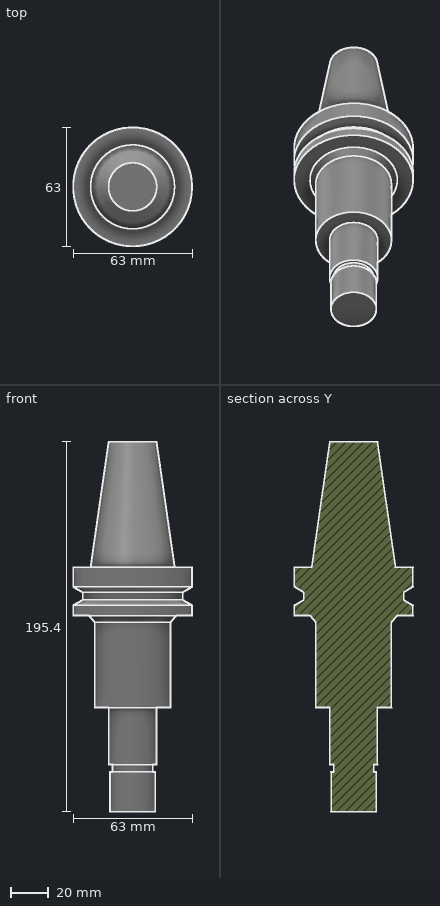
import cadquery as cq

total_height = 195.4

nose_diameter = 24.0
nose_groove_diameter = 21.5
shank_diameter = 25.4
body_diameter = 40.0
collar_diameter = 46.1
flange_diameter = 63.0
flange_groove_diameter = 53.0
taper_large_diameter = 44.4
taper_small_diameter = 25.4

nose_length = 21.1
nose_groove_width = 4.0
shank_length = 30.0
body_length = 45.0
collar_height = 3.5
lower_rim_height = 5.5
groove_flank_height = 3.0
groove_floor_width = 4.0
upper_rim_height = 10.4
taper_neck_height = 0.5

nose_top = nose_length
shank_bottom = nose_top + nose_groove_width
shank_top = shank_bottom + shank_length
body_top = shank_top + body_length
flange_bottom = body_top + collar_height
lower_rim_top = flange_bottom + lower_rim_height
groove_floor_bottom = lower_rim_top + groove_flank_height
groove_floor_top = groove_floor_bottom + groove_floor_width
upper_rim_bottom = groove_floor_top + groove_flank_height
flange_top = upper_rim_bottom + upper_rim_height
taper_bottom = flange_top + taper_neck_height


def turned_section(bottom, top, bottom_diameter, top_diameter=None):
    """Solid cylinder, or cone when the two diameters differ, about the Z axis."""
    if top_diameter is None:
        top_diameter = bottom_diameter
    profile = [
        (0, bottom),
        (bottom_diameter / 2, bottom),
        (top_diameter / 2, top),
        (0, top),
    ]
    return cq.Workplane("XZ").polyline(profile).close().revolve(360, (0, 0), (0, 1))


nose = turned_section(0, nose_top, nose_diameter)
nose_groove = turned_section(nose_top, shank_bottom, nose_groove_diameter)
shank = turned_section(shank_bottom, shank_top, shank_diameter)
body = turned_section(shank_top, body_top, body_diameter)

collar = turned_section(body_top, flange_bottom, body_diameter, collar_diameter)
lower_rim = turned_section(flange_bottom, lower_rim_top, flange_diameter)
lower_flank = turned_section(lower_rim_top, groove_floor_bottom, flange_diameter, flange_groove_diameter)
groove_floor = turned_section(groove_floor_bottom, groove_floor_top, flange_groove_diameter)
upper_flank = turned_section(groove_floor_top, upper_rim_bottom, flange_groove_diameter, flange_diameter)
upper_rim = turned_section(upper_rim_bottom, flange_top, flange_diameter)

taper_neck = turned_section(flange_top, taper_bottom, taper_large_diameter)
taper = turned_section(taper_bottom, total_height, taper_large_diameter, taper_small_diameter)

result = nose
for section in (
    nose_groove,
    shank,
    body,
    collar,
    lower_rim,
    lower_flank,
    groove_floor,
    upper_flank,
    upper_rim,
    taper_neck,
    taper,
):
    result = result.union(section)